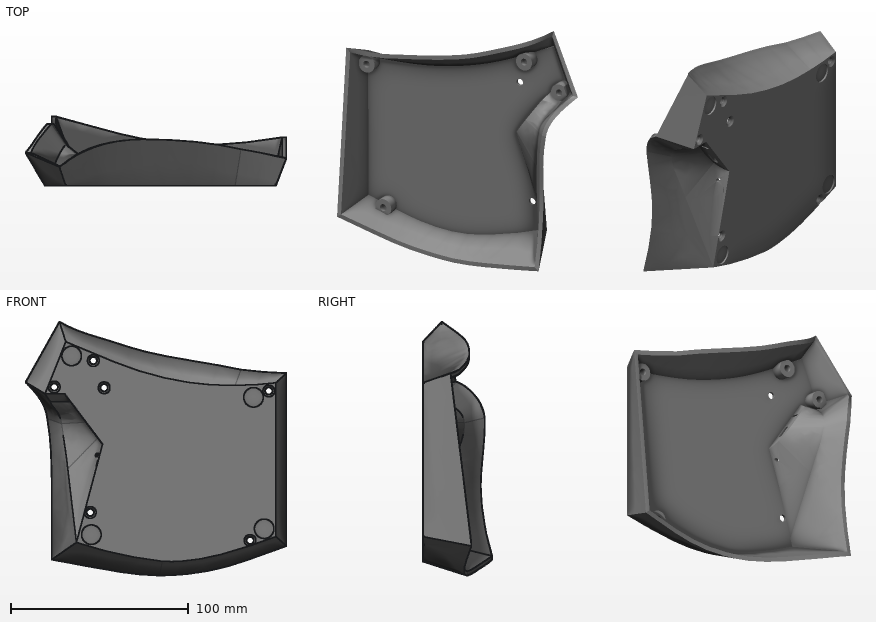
import cadquery as cq
import math


UPWARDS = cq.Vector(0, 1, 0)

WALL = 2.5
PLATE_THICKNESS = 3.0
PLATE_LEAN = 1.0
HALF_WIDTH = 73.47
LEFT_X = -58.8
RIM_CORNER_Z = 42.6
LOW_CORNER_Z = -54.8
BASE_RIGHT_X = 67.5
NOTCH_TOP_Z = 30.8

SCREW_DIAMETER = 4.0
SCREW_HEAD_DIAMETER = 6.6
BOSS_DIAMETER = 10.0
BOSS_TOP = 10.0
BOSS_OVERRUN = 0.8
BOSSED_SCREWS = [(-35.3, 49.6), (-57.3, 34.7), (63.5, 32.5), (-37.0, -35.9), (53.0, -51.7)]
PLAIN_SCREW = (-29.2, 34.3)
FOOT_DIAMETER = 11.0
FOOT_THICKNESS = 1.0
FOOT_INSET = 1.0
FEET = [(-47.5, 52.2), (54.9, 28.9), (-36.4, -48.4), (60.9, -45.1)]
PORT_LENGTH = 9.6
PORT_WIDTH = 4.0
PORT_MOUTH_DEPTH = 1.0
PORT_MOUTH_TAPER = 30
SWITCH_LENGTH = 5.0
SWITCH_WIDTH = 1.4
BUTTON_DIAMETER = 2.0
BUTTON_CENTER = (-34.5, 5.4, -3.5)
SLIT_SIZE = (0.8, 0.3, 5.2)
SLIT_CENTER = (-33.3, 1.65, -8.6)
CUT_DEPTH = 6.0

RIM_PEAK = (-54.4, 10.7, 71.5)
RIM_RIGHT_TOP = (HALF_WIDTH, 15.7, RIM_CORNER_Z)
RIM_RIGHT_LOW = (HALF_WIDTH, 27.4, LOW_CORNER_Z)
RIM_LEFT_LOW = (LEFT_X, 39.1, -62.5)
RIM_LEFT_TIP = (-HALF_WIDTH, 18.7, 37.4)

BASE_PEAK = (-50.8, 0, 60.2)
BASE_RIGHT_TOP = (BASE_RIGHT_X, 0, 37.1)
BASE_RIGHT_LOW = (BASE_RIGHT_X, 0, -49.5)
BASE_LEFT_LOW = (-44.8, 0, -52.8)
NOTCH_LOW = (-30.1, 0, 2.5)
NOTCH_TOP = (-51.4, 0, NOTCH_TOP_Z)
BASE_LEFT_TIP = (-62.5, 0, NOTCH_TOP_Z)

RIM_TOP = [
    RIM_PEAK, (-39.2, 20.0, 64.8), (-25.9, 24.3, 60.7), (-8.8, 26.2, 55.4), (3.4, 26.1, 52.6),
    (21.2, 25.0, 49.4), (47.7, 20.7, 44.6),
]
RIM_TOP_END = [RIM_TOP[-1], (62.1, 18.0, 43.15), RIM_RIGHT_TOP]
RIM_RIGHT = [RIM_RIGHT_TOP, RIM_RIGHT_LOW]
RIM_BOTTOM = [
    RIM_RIGHT_LOW, (54.4, 24.9, -61.7), (34.5, 23.4, -67.8), (17.8, 23.5, -70.6), (1.8, 25.1, -71.5),
]
RIM_BOTTOM_END = [
    RIM_BOTTOM[-1], (-8.8, 26.8, -70.9), (-26.5, 30.8, -68.4), (-42.0, 35.1, -65.6), RIM_LEFT_LOW,
]
RIM_LEFT = [
    RIM_LEFT_LOW, (LEFT_X, 34.9, -43.4), (LEFT_X, 32.7, -19.1), (-59.4, 34.3, 0.9), (-61.3, 34.9, 17.0),
]
RIM_LEFT_HOOK = [RIM_LEFT[-1], (-64.0, 31.7, 25.7), (-66.9, 27.8, 30.2), (-70.2, 22.9, 34.1), RIM_LEFT_TIP]
RIM_TIP = [RIM_LEFT_TIP, RIM_PEAK]

BASE_TOP = [
    BASE_PEAK, (-26.1, 0, 49.9), (-13.2, 0, 45.0), (3.4, 0, 40.2), (21.2, 0, 36.9), (44.4, 0, 35.7),
]
BASE_TOP_END = [BASE_TOP[-1], (56.0, 0, 36.0), BASE_RIGHT_TOP]
BASE_RIGHT = [BASE_RIGHT_TOP, BASE_RIGHT_LOW]
BASE_BOTTOM = [BASE_RIGHT_LOW, (35.6, 0, -59.8), (20.1, 0, -62.8), (3.4, 0, -63.4)]
BASE_BOTTOM_END = [BASE_BOTTOM[-1], (-16.5, 0, -60.3), BASE_LEFT_LOW]
BASE_NOTCH_LOW = [BASE_LEFT_LOW, NOTCH_LOW]
BASE_NOTCH_FACET = [NOTCH_LOW, NOTCH_TOP]
BASE_NOTCH_TOP = [NOTCH_TOP, BASE_LEFT_TIP]
BASE_TIP = [BASE_LEFT_TIP, BASE_PEAK]

CREASE_LOW = [BASE_LEFT_LOW, (-49.7, 16.0, -11.1)]
CREASE_MIDDLE = [CREASE_LOW[-1], (-51.2, 20.6, 0.6), (-52.3, 22.8, 7.8), (-53.3, 23.2, 14.2)]
CREASE_HOOK = [CREASE_MIDDLE[-1], (-54.5, 21.6, 18.6), (-56.6, 17.7, 21.9), (-59.5, 10.5, 26.4)]
CREASE_TOP = [CREASE_HOOK[-1], BASE_LEFT_TIP]


def facet_point(y, z):
    """A point of the flat port facet, which stands square on the notch edge."""
    share = (z - NOTCH_LOW[2]) / (NOTCH_TOP[2] - NOTCH_LOW[2])
    return (NOTCH_LOW[0] + share * (NOTCH_TOP[0] - NOTCH_LOW[0]), y, z)


PORT_CENTER = facet_point(6.1, 11.9)
SWITCH_CENTER = facet_point(5.8, 22.6)

FACET_SHOULDER = facet_point(8.9, 6.2)
FACET_TOP = facet_point(10.5, 26.4)
FACET_ARC = [NOTCH_LOW, facet_point(5.3, 3.5), FACET_SHOULDER]
FACET_EDGE = [FACET_SHOULDER, facet_point(10.4, 10.5), facet_point(11.0, 15.0)]
FACET_EDGE_END = [FACET_EDGE[-1], facet_point(11.0, 20.5), FACET_TOP]


def flat_step(start, end):
    """Unit step from start to end, seen along Y."""
    dx = end[0] - start[0]
    dz = end[2] - start[2]
    length = math.hypot(dx, dz)
    return dx / length, dz / length


def inset_point(before, point, after, distance):
    """Move a loop point inwards by a distance, mitred between its two neighbours."""
    in_x, in_z = flat_step(before, point)
    out_x, out_z = flat_step(point, after)
    mitre = distance / (1 + in_x * out_x + in_z * out_z)
    return (point[0] + mitre * (in_z + out_z), point[1], point[2] - mitre * (in_x + out_x))


def inset_map(curves, distance):
    """Map each point of a closed loop of curves to its inset point."""
    loop = [point for curve in curves for point in curve[:-1]]
    count = len(loop)
    return {loop[i]: inset_point(loop[i - 1], loop[i], loop[(i + 1) % count], distance) for i in range(count)}


def shifted(point, start, end):
    return tuple(p + e - s for p, s, e in zip(point, start, end))


def curve_edge(points):
    vectors = [cq.Vector(*point) for point in points]
    if len(vectors) == 2:
        return cq.Edge.makeLine(*vectors)
    return cq.Edge.makeSpline(vectors)


def ruled(first, second):
    return cq.Face.makeRuledSurface(curve_edge(first), curve_edge(second))


def flat_face(curves):
    return cq.Face.makeFromWires(cq.Wire.assembleEdges([curve_edge(curve) for curve in curves]))


def curved_face(curves):
    return cq.Face.makeNSidedSurface([curve_edge(curve) for curve in curves], [])


RIM_LOOP = [
    RIM_TOP, RIM_TOP_END, RIM_RIGHT, RIM_BOTTOM, RIM_BOTTOM_END, RIM_LEFT, RIM_LEFT_HOOK, RIM_TIP,
]
BASE_SIDES = [BASE_TOP, BASE_TOP_END, BASE_RIGHT, BASE_BOTTOM, BASE_BOTTOM_END]
BASE_LOOP = BASE_SIDES + [BASE_NOTCH_LOW, BASE_NOTCH_FACET, BASE_NOTCH_TOP, BASE_TIP]
CREASE_LOOP = BASE_SIDES + [CREASE_LOW, CREASE_MIDDLE, CREASE_HOOK, CREASE_TOP, BASE_TIP]


def inner_points():
    """Every outer wall point with its partner on the inner side of the wall."""
    inner = inset_map(CREASE_LOOP, WALL)
    inner.update(inset_map(BASE_LOOP, WALL))
    inner.update(inset_map(RIM_LOOP, WALL))
    inner[BASE_LEFT_LOW] = inset_map(CREASE_LOOP, WALL)[BASE_LEFT_LOW]
    for point in FACET_ARC[1:] + FACET_EDGE[1:] + FACET_EDGE_END[1:-1]:
        inner[point] = shifted(point, NOTCH_LOW, inner[NOTCH_LOW])
    inner[FACET_TOP] = shifted(FACET_TOP, NOTCH_TOP, inner[NOTCH_TOP])
    return inner


def wall_skin(place):
    """Faces of one side of the walls; `place` puts each curve on the outer or the inner side."""
    pairs = [
        (RIM_TOP, BASE_TOP),
        (RIM_TOP_END, BASE_TOP_END),
        (RIM_RIGHT, BASE_RIGHT),
        (RIM_BOTTOM, BASE_BOTTOM),
        (RIM_BOTTOM_END, BASE_BOTTOM_END),
        (RIM_LEFT_HOOK, CREASE_HOOK),
        (RIM_TIP, BASE_TIP),
        (CREASE_MIDDLE, FACET_EDGE),
        (CREASE_HOOK, FACET_EDGE_END),
        (CREASE_TOP, [FACET_TOP, NOTCH_TOP]),
    ]
    upper_left = [
        RIM_LEFT, [RIM_LEFT[-1], CREASE_MIDDLE[-1]], CREASE_MIDDLE, CREASE_LOW, [BASE_LEFT_LOW, RIM_LEFT_LOW],
    ]
    hollow = [CREASE_LOW, [CREASE_LOW[-1], FACET_SHOULDER], FACET_ARC, BASE_NOTCH_LOW]
    hook_end = [CREASE_TOP, [BASE_LEFT_TIP, RIM_LEFT_TIP], [RIM_LEFT_TIP, CREASE_HOOK[-1]]]
    facet = [FACET_ARC, FACET_EDGE, FACET_EDGE_END, [FACET_TOP, NOTCH_TOP], BASE_NOTCH_FACET]
    faces = [ruled(place(first), place(second)) for first, second in pairs]
    faces += [curved_face([place(curve) for curve in border]) for border in (upper_left, hollow)]
    faces += [flat_face([place(curve) for curve in border]) for border in (hook_end, facet)]
    return faces


def make_solid(faces):
    return cq.Workplane(cq.Solid.makeSolid(cq.Shell.makeShell(faces)))


def make_walls():
    inner = inner_points()

    def outside(curve):
        return curve

    def inside(curve):
        return [inner[point] for point in curve]

    rims = [ruled(curve, inside(curve)) for curve in RIM_LOOP + BASE_LOOP]
    return make_solid(wall_skin(outside) + wall_skin(inside) + rims)


def post(center, diameter, start, end):
    """Round bar along Y from height `start` to `end`."""
    x, z = center
    bar = cq.Solid.makeCylinder(diameter / 2, end - start, cq.Vector(x, start, z), UPWARDS)
    return cq.Workplane(bar)


def screw_hole(center):
    """Through hole with a 90 degree countersink in the underside."""
    x, z = center
    depth = (SCREW_HEAD_DIAMETER - SCREW_DIAMETER) / 2
    sink = cq.Solid.makeCone(
        SCREW_HEAD_DIAMETER / 2, SCREW_DIAMETER / 2, depth, cq.Vector(x, 0, z), UPWARDS
    )
    return post(center, SCREW_DIAMETER, 0, BOSS_TOP).union(cq.Workplane(sink))


def base_loop_at(height, inset):
    """The underside outline, moved inwards and raised."""
    moved = inset_map(BASE_LOOP, inset)
    raised = {point: (new[0], height, new[2]) for point, new in moved.items()}
    return [[raised[point] for point in curve] for curve in BASE_LOOP]


def make_bosses():
    """Screw bosses on the plate, trimmed so that none reaches out through a wall."""
    outline = flat_face(base_loop_at(0, -BOSS_OVERRUN))
    trim = cq.Workplane(cq.Solid.extrudeLinear(outline, UPWARDS * BOSS_TOP))
    bosses = [post(center, BOSS_DIAMETER, PLATE_THICKNESS, BOSS_TOP) for center in BOSSED_SCREWS]
    return [boss.intersect(trim) for boss in bosses]


def make_plate_blank():
    """Plate whose sides lean inwards, so that only its underside shows."""
    top_loop = base_loop_at(PLATE_THICKNESS, PLATE_LEAN)
    sides = [ruled(low, high) for low, high in zip(BASE_LOOP, top_loop)]
    return make_solid(sides + [flat_face(BASE_LOOP), flat_face(top_loop)])


def facet_workplane(center):
    """Workplane facing into the case on the port facet, with local X running up the facet."""
    step_x, step_z = flat_step(NOTCH_LOW, NOTCH_TOP)
    return cq.Workplane(cq.Plane(origin=center, xDir=(step_x, 0, step_z), normal=(step_z, 0, -step_x)))


def port_cuts():
    """Port slot with a flared mouth, and the narrow switch slot beside it."""
    mouth = facet_workplane(PORT_CENTER).slot2D(PORT_LENGTH, PORT_WIDTH)
    mouth = mouth.extrude(PORT_MOUTH_DEPTH, taper=PORT_MOUTH_TAPER)
    narrowing = 2 * PORT_MOUTH_DEPTH * math.tan(math.radians(PORT_MOUTH_TAPER))
    port = facet_workplane(PORT_CENTER).slot2D(PORT_LENGTH - narrowing, PORT_WIDTH - narrowing)
    switch = facet_workplane(SWITCH_CENTER).rect(SWITCH_WIDTH, SWITCH_LENGTH)
    return [mouth, port.extrude(CUT_DEPTH), switch.extrude(CUT_DEPTH)]


def button_cuts():
    """Round button hole and shallow upright slit in the hollow."""
    button = cq.Workplane("YZ", origin=BUTTON_CENTER).circle(BUTTON_DIAMETER / 2)
    slit = cq.Workplane("XY", origin=SLIT_CENTER).box(*SLIT_SIZE)
    return [button.extrude(CUT_DEPTH, both=True), slit]


def make_feet():
    return [post(center, FOOT_DIAMETER, FOOT_INSET, FOOT_INSET + FOOT_THICKNESS) for center in FEET]


def foot_recess(center):
    return post(center, FOOT_DIAMETER, 0, FOOT_INSET + FOOT_THICKNESS)


def make_plate():
    plate = make_plate_blank()
    for center in BOSSED_SCREWS + [PLAIN_SCREW]:
        plate = plate.cut(screw_hole(center))
    for center in FEET:
        plate = plate.cut(foot_recess(center))
    return plate


def make_case():
    case = make_walls()
    for boss in make_bosses():
        case = case.union(boss)
    case = case.cut(make_plate_blank())
    for center in BOSSED_SCREWS:
        case = case.cut(screw_hole(center))
    for center in FEET:
        case = case.cut(foot_recess(center))
    for cut in port_cuts() + button_cuts():
        case = case.cut(cut)
    return case


case = make_case()
plate = make_plate()
feet = make_feet()
result = cq.Compound.makeCompound([case.val(), plate.val(), *[foot.val() for foot in feet]])